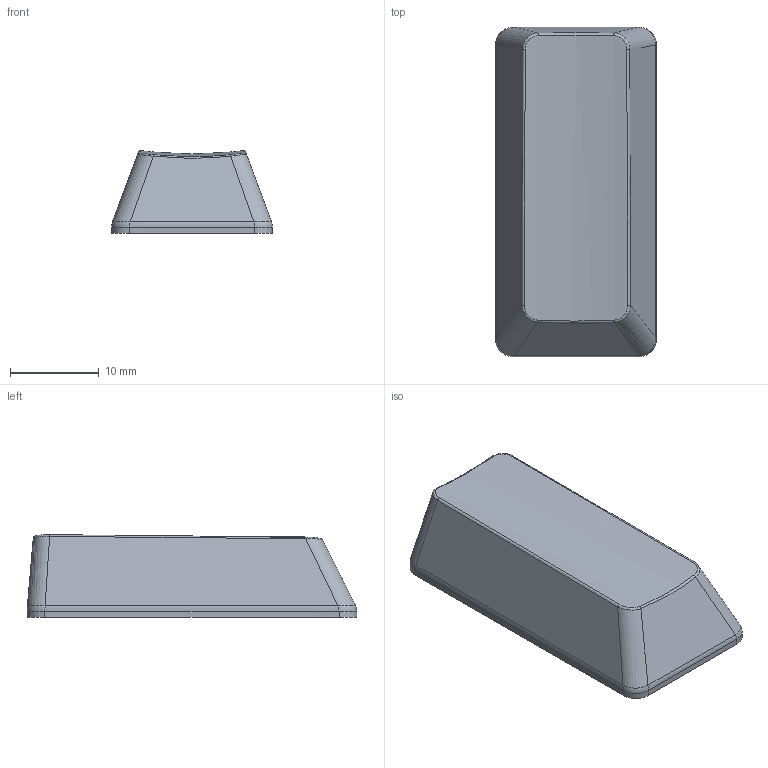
import cadquery as cq
import math

width = 18.16
length = 37.21
corner_radius = 2.0

side_lean = math.radians(20.4)
front_lean = math.radians(26.7)
back_lean = math.radians(4.9)

knee_start = 0.69
knee_end = 1.3
blank_height = 10.5
top_corner_radius = 1.8
knee_steps = 3

dish_radius = 42.0
dish_floor = 8.782
dish_tilt = 0.55
rim_radius = 0.3


def inset(lean, z):
    """Inward offset of a wall at height z: upright, then an arc, then a straight lean."""
    if z <= knee_start:
        return 0.0
    arc_radius = (knee_end - knee_start) / math.sin(lean)
    if z <= knee_end:
        return arc_radius - math.sqrt(arc_radius**2 - (z - knee_start) ** 2)
    return arc_radius * (1 - math.cos(lean)) + (z - knee_end) * math.tan(lean)


def section(z):
    """Rounded rectangular outline of the body at height z."""
    side, front, back = [inset(lean, z) for lean in (side_lean, front_lean, back_lean)]
    wall_fraction = max(0.0, (z - knee_end) / (blank_height - knee_end))
    radius = corner_radius + (top_corner_radius - corner_radius) * wall_fraction
    outline = cq.Sketch().rect(width - 2 * side, length - front - back).vertices().fillet(radius)
    centre = cq.Vector(0, (front - back) / 2, z)
    return outline.reset().faces().val().outerWire().moved(cq.Location(centre))


def make_body():
    """Skirt, knee and walls, stacked with matching outlines where they meet."""
    knee_rise = knee_end - knee_start
    knee_heights = [knee_start + knee_rise * i / knee_steps for i in range(knee_steps + 1)]
    skirt = cq.Solid.makeLoft([section(0), section(knee_start)], True)
    knee = cq.Solid.makeLoft([section(z) for z in knee_heights], False)
    walls = cq.Solid.makeLoft([section(knee_end), section(blank_height)], True)
    return cq.Workplane(skirt).union(cq.Workplane(knee)).union(cq.Workplane(walls))


def cut_dish(body):
    """Hollow the top with the tilted cylinder."""
    cutter = (
        cq.Workplane("XZ", origin=(0, 0, dish_radius))
        .circle(dish_radius)
        .extrude(length, both=True)
        .rotate((0, 0, 0), (1, 0, 0), dish_tilt)
        .translate((0, 0, dish_floor))
    )
    return body.cut(cutter)


def round_rim(body):
    """Round the edge where the dish meets the walls."""
    dish_face = body.faces(cq.selectors.NearestToPointSelector((0, 0, dish_floor)))
    return dish_face.edges().fillet(rim_radius)


result = round_rim(cut_dish(make_body()))